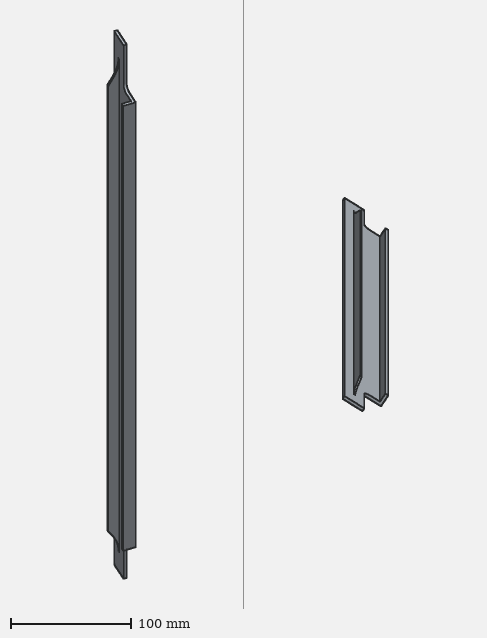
import cadquery as cq
import math

length = 595.0
width = 38.0
depth = 13.0

plate_thickness = 3.0
tab_width = 19.5
shoulder_height = 49.5
shoulder_radius = 6.0
corner_margin = 0.5

rib_left = 9.0
rib_thickness = 2.0
ramp_slope = 0.6
blend_radius = 35.5

lip_thickness = 3.0
lip_depth = 11.5

half_length = length / 2
shoulder_z = half_length - shoulder_height
front_y = -plate_thickness


def make_plate():
    """Flat plate with a narrow tab at each end and rounded inner shoulders."""
    narrow_strip = cq.Workplane("XY").box(
        tab_width, plate_thickness, length, centered=(False, False, True)
    )
    wide_portion = cq.Workplane("XY").box(
        width, plate_thickness, 2 * shoulder_z, centered=(False, False, True)
    )
    plate = narrow_strip.union(wide_portion).translate((0, front_y, 0))
    inner_corners = cq.selectors.BoxSelector(
        (tab_width - corner_margin, -depth, -shoulder_z - corner_margin),
        (tab_width + corner_margin, depth, shoulder_z + corner_margin),
    )
    return plate.edges("|Y").edges(inner_corners).fillet(shoulder_radius)


def make_rib():
    """Thin rib whose ends ramp down and blend tangentially into the plate."""
    ramp_angle = math.atan(ramp_slope)
    foot_z = shoulder_z + (depth - plate_thickness) / ramp_slope
    tangent_length = blend_radius * math.tan(ramp_angle / 2)
    end_z = foot_z + tangent_length
    blend_z = foot_z - tangent_length * math.cos(ramp_angle)
    blend_y = front_y - tangent_length * math.sin(ramp_angle)
    return (
        cq.Workplane("YZ")
        .moveTo(front_y, -end_z)
        .radiusArc((blend_y, -blend_z), -blend_radius)
        .lineTo(-depth, -shoulder_z)
        .lineTo(-depth, shoulder_z)
        .lineTo(blend_y, blend_z)
        .radiusArc((front_y, end_z), -blend_radius)
        .close()
        .extrude(rib_thickness)
        .translate((rib_left, 0, 0))
    )


def make_lip():
    """Forward-turned lip along the outer edge between the shoulders."""
    lip = cq.Workplane("XY").box(
        lip_thickness, lip_depth, 2 * shoulder_z, centered=(False, False, True)
    )
    return lip.translate((width - lip_thickness, -lip_depth, 0))


result = make_plate().union(make_rib()).union(make_lip())